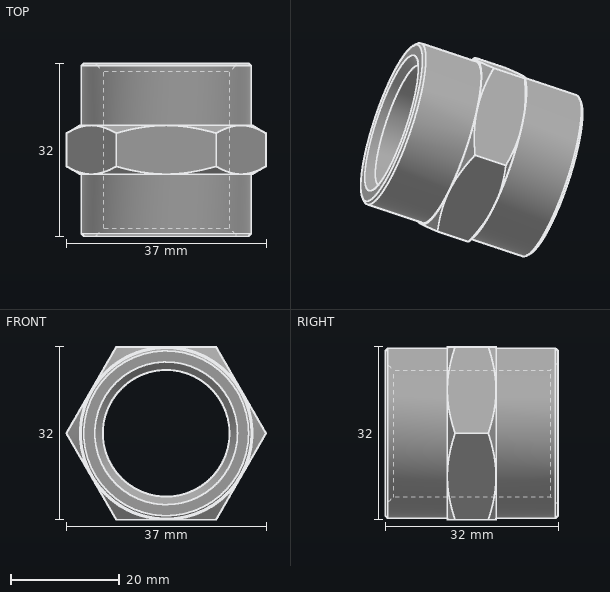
import cadquery as cq
import math

LENGTH = 32.0
BODY_DIAMETER = 31.5
BODY_CHAMFER = 0.5
BORE_DIAMETER = 23.4
BORE_CHAMFER = 1.5

HEX_ACROSS_FLATS = 32.0
HEX_ACROSS_CORNERS = HEX_ACROSS_FLATS / math.cos(math.radians(30))
HEX_WIDTH = 9.0
HEX_CHAMFER_ANGLE = 30.0


def revolve_about_y(points):
    """Revolve a closed (radius, y) outline around the Y axis."""
    return cq.Workplane("XY").polyline(points).close().revolve(360, (0, 0, 0), (0, 1, 0))


def make_body():
    """Cylinder with a chamfer at both outer end edges."""
    blank = cq.Workplane("XZ").circle(BODY_DIAMETER / 2).extrude(LENGTH / 2, both=True)
    return blank.faces("<Y or >Y").edges().chamfer(BODY_CHAMFER)


def make_hexagon():
    """Wrench hexagon with flats facing +Z and -Z, its corners trimmed by two cones."""
    prism = cq.Workplane("XZ").polygon(6, HEX_ACROSS_CORNERS).extrude(HEX_WIDTH / 2, both=True)
    end_radius = HEX_ACROSS_FLATS / 2
    corner_radius = HEX_ACROSS_CORNERS / 2
    cone_height = (corner_radius - end_radius) * math.tan(math.radians(HEX_CHAMFER_ANGLE))
    end_y = HEX_WIDTH / 2
    shoulder_y = end_y - cone_height
    envelope = revolve_about_y([
        (0, -end_y),
        (end_radius, -end_y),
        (corner_radius, -shoulder_y),
        (corner_radius, shoulder_y),
        (end_radius, end_y),
        (0, end_y),
    ])
    return prism.intersect(envelope)


def make_bore():
    """Through bore that opens with a 45 degree countersink at both ends."""
    bore_radius = BORE_DIAMETER / 2
    mouth_radius = bore_radius + BORE_CHAMFER
    end_y = LENGTH / 2
    countersink_y = end_y - BORE_CHAMFER
    return revolve_about_y([
        (0, -end_y),
        (mouth_radius, -end_y),
        (bore_radius, -countersink_y),
        (bore_radius, countersink_y),
        (mouth_radius, end_y),
        (0, end_y),
    ])


result = make_body().union(make_hexagon()).cut(make_bore())